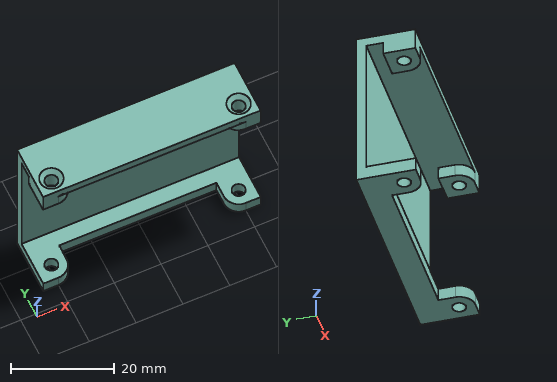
import cadquery as cq

length = 46.5
height = 34.9
foot_depth = 12.0
top_depth = 11.9

wall_thickness = 2.05
top_thickness = 2.05
foot_thickness = 2.85

tab_width = 6.45
tab_back = 5.45
boss_height = 2.65
hole_inset = 3.25
hole_y = -8.75
hole_diameter = 2.7
countersink_diameter = 4.75
countersink_depth = 0.9

corner_radius = tab_width - hole_inset
hole_x = length / 2 - hole_inset
boss_bottom = height - top_thickness - boss_height


def plate(depth, bottom, thickness):
    """Full-length plate reaching forward from the back face."""
    return cq.Workplane("XY").box(length, depth, thickness, centered=(True, False, False)).translate(
        (0, -depth, bottom)
    )


def corner_tab(side, front_depth, bottom, thickness):
    """Tab at one end of the bracket, rounded at its inner front corner."""
    tab_depth = front_depth - tab_back
    tab_x = side * (length - tab_width) / 2
    inner_edge = "<X" if side > 0 else ">X"
    return (
        cq.Workplane("XY")
        .box(tab_width, tab_depth, thickness, centered=(True, False, False))
        .edges("|Z").edges("<Y").edges(inner_edge)
        .fillet(corner_radius)
        .translate((tab_x, -front_depth, bottom))
    )


result = (
    plate(wall_thickness, 0, height)
    .union(plate(top_depth, height - top_thickness, top_thickness))
    .union(plate(tab_back, 0, foot_thickness))
)

for side in (-1, 1):
    result = result.union(corner_tab(side, top_depth, boss_bottom, top_thickness + boss_height))
    result = result.union(corner_tab(side, foot_depth, 0, foot_thickness))

hole_centres = [(side * hole_x, hole_y) for side in (-1, 1)]
screw_holes = cq.Workplane("XY").pushPoints(hole_centres).circle(hole_diameter / 2).extrude(height)
result = result.cut(screw_holes)

for x, y in hole_centres:
    countersink = cq.Solid.makeCone(
        countersink_diameter / 2,
        hole_diameter / 2,
        countersink_depth,
        pnt=cq.Vector(x, y, height),
        dir=cq.Vector(0, 0, -1),
    )
    result = result.cut(cq.Workplane(obj=countersink))